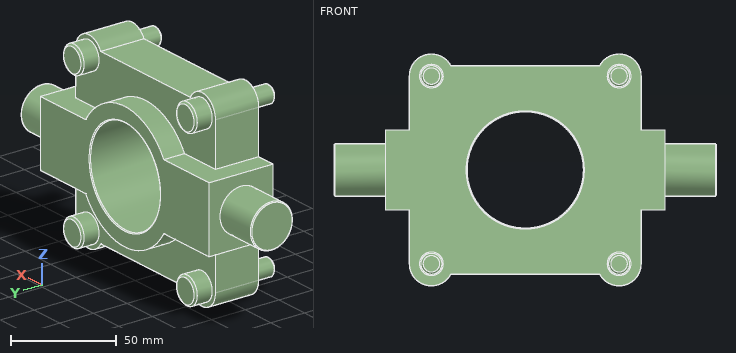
import cadquery as cq

overall_length = 181.0
arm_length = 132.5
arm_size = 38.0
trunnion_diameter = 25.0
hub_diameter = 72.2
bore_diameter = 55.0
edge_chamfer = 0.5

plate_width = 109.9
plate_height = 98.8
plate_thickness = 25.7
lug_radius = 10.5
lug_offset = plate_width / 2 - lug_radius

bolt_hole_diameter = 11.2
bolt_diameter = 10.0
bolt_head_diameter = 16.0
bolt_head_height = 10.0
bolt_protrusion = 14.5
bolt_head_chamfer = 1.0
bolt_tip_chamfer = 1.0

bolt_places = [(x, z) for x in (-lug_offset, lug_offset) for z in (-lug_offset, lug_offset)]


def cylinder_along_y(diameter, start_y, end_y, x=0.0, z=0.0):
    """Solid cylinder between two Y positions, with its axis through (x, z)."""
    axis_start = cq.Vector(x, start_y, z)
    axis = cq.Vector(0, 1, 0)
    return cq.Workplane(cq.Solid.makeCylinder(diameter / 2, end_y - start_y, axis_start, axis))


def block_from_front(width, depth, height):
    """Block centred in X and Z, with its front face at Y = 0."""
    return cq.Workplane("XY").box(width, depth, height).translate((0, depth / 2, 0))


def make_plate():
    """Cross-shaped flange whose four corners are filled by round lugs tangent to its sides."""
    lug_pitch = 2 * lug_offset
    tall_block = block_from_front(lug_pitch, plate_thickness, plate_height)
    wide_block = block_from_front(plate_width, plate_thickness, lug_pitch)
    plate = tall_block.union(wide_block)
    for x, z in bolt_places:
        plate = plate.union(cylinder_along_y(2 * lug_radius, 0, plate_thickness, x, z))
    return plate


def make_trunnions():
    """Coaxial bar whose two chamfered ends stand out of the arms."""
    return (
        cq.Workplane("YZ", origin=(-overall_length / 2, arm_size / 2, 0))
        .circle(trunnion_diameter / 2)
        .extrude(overall_length)
        .edges("%CIRCLE")
        .chamfer(edge_chamfer)
    )


def make_bore():
    """Cutter for the through bore, widened at both mouths by a chamfer."""
    radius = bore_diameter / 2
    mouth_radius = radius + edge_chamfer
    profile = [
        (0, 0),
        (mouth_radius, 0),
        (radius, edge_chamfer),
        (radius, arm_size - edge_chamfer),
        (mouth_radius, arm_size),
        (0, arm_size),
    ]
    return cq.Workplane("XY").polyline(profile).close().revolve(360, (0, 0, 0), (0, 1, 0))


def make_housing():
    arms = block_from_front(arm_length, arm_size, arm_size)
    hub = cylinder_along_y(hub_diameter, 0, arm_size)
    housing = make_plate().union(arms).union(hub).union(make_trunnions()).cut(make_bore())
    for x, z in bolt_places:
        housing = housing.cut(cylinder_along_y(bolt_hole_diameter, 0, plate_thickness, x, z))
    return housing


def make_bolt(x, z):
    """Bolt with its head seated on the rear of the plate and its tip pointing to -Y."""
    head_end = plate_thickness + bolt_head_height
    head = cylinder_along_y(bolt_head_diameter, plate_thickness, head_end, x, z)
    head = head.faces(">Y").edges().chamfer(bolt_head_chamfer)
    shank = cylinder_along_y(bolt_diameter, -bolt_protrusion, plate_thickness, x, z)
    shank = shank.faces("<Y").edges().chamfer(bolt_tip_chamfer)
    return head.union(shank)


housing = make_housing()
bolts = [make_bolt(x, z) for x, z in bolt_places]

result = cq.Compound.makeCompound([housing.val(), *[bolt.val() for bolt in bolts]])